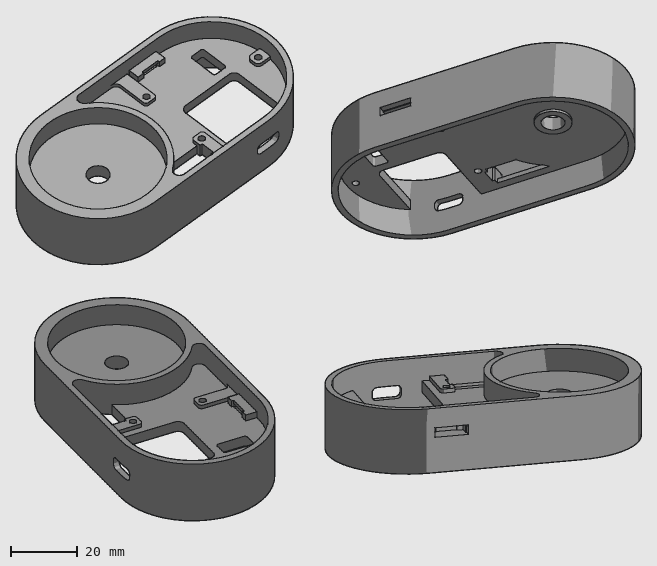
import cadquery as cq

length = 96.3
width = 49.0
height = 20.3
wall = 2.0
end_radius = width / 2
end_y = (length - width) / 2
inner_x = end_radius - wall

cup_diameter = 41.2
cup_floor_z = 13.2
cup_outer_radius = cup_diameter / 2 + wall
cup_hole_diameter = 7.1
collar_diameter = 11.4
collar_bottom = 8.6

deck_top = 13.0
deck_bottom = 9.4
bay_corner_radius = 2.1

boss_top = 14.25
boss_width = 4.6
boss_corner_radius = 1.1
screw_hole_diameter = 2.2
end_screw_y = 43.1
end_boss_corner_radius = 1.6
side_screw_x = 11.8
side_screw_y = 8.1
side_boss_tip_x = 9.7
side_boss_edge_y = side_screw_y - boss_width / 2
boss_root_radius = 2.0

large_window_x = -1.9
large_window_y = (12.7, 35.0)
large_window_radius = 2.1
small_window_x = (-14.9, -4.7)
small_window_y = (29.5, 34.5)
small_window_radius = 0.8
cable_window_x = (12.1, 19.8)
cable_notch_x = (13.5, 18.2)
cable_notch_depth = 0.9
ledge_z = 11.0

socket_y = (11.5, 21.9)
socket_z = (11.2, 14.2)
socket_step = 0.3
housing_y = (11.3, 22.4)
housing_x = -18.7
housing_top = 15.1
housing_notch_y = (13.7, 20.1)
housing_notch_x = -19.4
socket_back_x = -19.8

switch_length = 9.2
switch_height = 4.0
switch_corner_radius = 1.4


def box(x, y, z):
    """Box between pairs of limits."""
    size = (x[1] - x[0], y[1] - y[0], z[1] - z[0])
    return cq.Workplane("XY").box(*size, centered=False).translate((x[0], y[0], z[0]))


def cylinder(x, y, diameter, z):
    """Upright cylinder between two heights."""
    return cq.Workplane("XY", origin=(x, y, z[0])).circle(diameter / 2).extrude(z[1] - z[0])


def interior(z):
    """Space inside the outer wall, between two heights."""
    base = cq.Workplane("XY", origin=(0, 0, z[0]))
    return base.slot2D(length - 2 * wall, width - 2 * wall, 90).extrude(z[1] - z[0])


def bay(z):
    """Electronics bay: the interior outside the cup, between two heights."""
    space = interior(z).cut(cylinder(0, -end_y, 2 * cup_outer_radius, z))
    return space.edges("|Z and <Y").fillet(bay_corner_radius)


def shell():
    """Outer body hollowed from both sides, leaving the deck and the cup floor between."""
    body = cq.Workplane("XY").slot2D(length, width, 90).extrude(height)
    body = body.cut(interior((0, deck_bottom)))
    body = body.union(cylinder(0, -end_y, collar_diameter, (collar_bottom, cup_floor_z)))
    body = body.cut(bay((deck_top, height)))
    body = body.cut(cylinder(0, -end_y, cup_diameter, (cup_floor_z, height)))
    return body.cut(cylinder(0, -end_y, cup_hole_diameter, (0, height)))


def end_boss():
    """Boss that reaches in from the +Y end wall."""
    boss = box(
        (-boss_width / 2, boss_width / 2),
        (end_screw_y - boss_width / 2, length / 2),
        (deck_bottom, boss_top),
    )
    return boss.edges("|Z and <Y").fillet(end_boss_corner_radius)


def side_boss():
    """Boss that reaches in from the -X wall."""
    boss = box(
        (-inner_x, -side_boss_tip_x),
        (side_boss_edge_y, side_boss_edge_y + boss_width),
        (deck_bottom, boss_top),
    )
    return boss.edges("|Z and >X").fillet(boss_corner_radius)


def boss_root():
    """Concave round between the -X side boss and the wall."""
    corner = box(
        (-inner_x, -inner_x + boss_root_radius),
        (side_boss_edge_y - boss_root_radius, side_boss_edge_y),
        (deck_top, boss_top),
    )
    round_x = -inner_x + boss_root_radius
    round_y = side_boss_edge_y - boss_root_radius
    return corner.cut(cylinder(round_x, round_y, 2 * boss_root_radius, (deck_top, boss_top)))


def socket_housing():
    """Roofed block behind the wall socket, with a shallow notch along its back."""
    housing = box((-inner_x, housing_x), housing_y, (deck_bottom, housing_top))
    return housing.cut(box((housing_notch_x, housing_x), housing_notch_y, (deck_top, housing_top)))


def deck_openings():
    """Windows and ledge cut through or into the deck."""
    large = box((large_window_x, end_radius), large_window_y, (deck_bottom, deck_top))
    large = large.edges("|Z and <X").fillet(large_window_radius)
    small = box(small_window_x, small_window_y, (deck_bottom, deck_top))
    small = small.edges("|Z").fillet(small_window_radius)
    cable_y = (-end_y, side_boss_edge_y)
    cable = box(cable_window_x, cable_y, (deck_bottom, deck_top))
    notch_y = (side_boss_edge_y, side_boss_edge_y + cable_notch_depth)
    notch = box(cable_notch_x, notch_y, (deck_bottom, boss_top))
    ledge = box((cable_window_x[1], inner_x), cable_y, (ledge_z, deck_top))
    openings = large.union(small).union(cable).union(notch).union(ledge)
    return openings.intersect(bay((deck_bottom, boss_top)))


def deck_fittings():
    """Bosses and socket housing that stand on the deck."""
    fittings = end_boss().intersect(bay((deck_bottom, boss_top)))
    fittings = fittings.union(side_boss())
    fittings = fittings.union(side_boss().mirror("YZ"))
    fittings = fittings.union(boss_root())
    return fittings.union(socket_housing())


def screw_holes():
    """Holes through the three bosses and the deck."""
    centres = [(0, end_screw_y), (-side_screw_x, side_screw_y), (side_screw_x, side_screw_y)]
    holes = cq.Workplane("XY", origin=(0, 0, deck_bottom)).pushPoints(centres)
    return holes.circle(screw_hole_diameter / 2).extrude(boss_top - deck_bottom)


def socket():
    """Socket through the -X wall and into the housing, slightly smaller inside the housing."""
    mouth = box((-end_radius, -inner_x), socket_y, socket_z)
    cavity_y = (socket_y[0] + socket_step, socket_y[1])
    cavity_z = (socket_z[0], socket_z[1] - socket_step)
    cavity = box((-end_radius, socket_back_x), cavity_y, cavity_z)
    middle = box((-end_radius, housing_notch_x), housing_notch_y, cavity_z)
    return mouth.union(cavity).union(middle)


def switch_opening():
    """Opening through the +X wall, centred where the straight side meets the end arc."""
    opening = box(
        (inner_x - wall, end_radius),
        (end_y - switch_length / 2, end_y + switch_length / 2),
        ((height - switch_height) / 2, (height + switch_height) / 2),
    )
    return opening.edges("|X").fillet(switch_corner_radius)


result = shell().union(deck_fittings())
result = result.cut(deck_openings()).cut(screw_holes()).cut(socket()).cut(switch_opening())